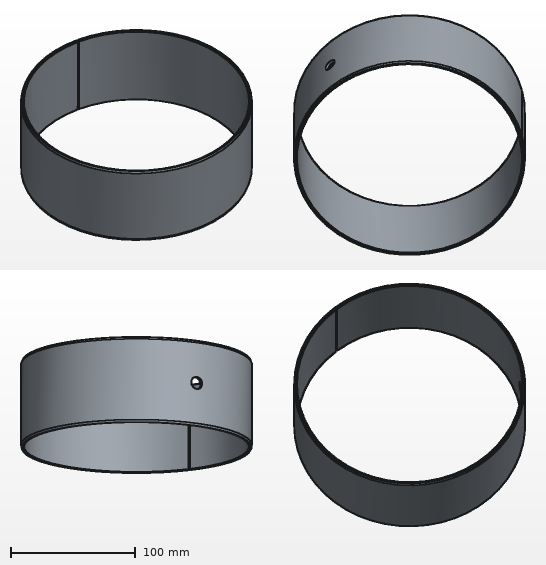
import cadquery as cq

outer_diameter = 185.0
height = 70.0
wall = 2.5
outer_chamfer_height = 1.8
outer_chamfer_depth = 0.7
inner_chamfer = 0.7
split_angle = 1.0
hole_diameter = 10.0
hole_angle = 59.0

outer_radius = outer_diameter / 2
inner_radius = outer_radius - wall
half_height = height / 2
outer_shoulder = half_height - outer_chamfer_height
inner_shoulder = half_height - inner_chamfer


def split_band():
    """Thin band with chamfered rims, left open just short of the -X axis."""
    profile = [
        (inner_radius, -inner_shoulder),
        (inner_radius + inner_chamfer, -half_height),
        (outer_radius - outer_chamfer_depth, -half_height),
        (outer_radius, -outer_shoulder),
        (outer_radius, outer_shoulder),
        (outer_radius - outer_chamfer_depth, half_height),
        (inner_radius + inner_chamfer, half_height),
        (inner_radius, inner_shoulder),
    ]
    return (
        cq.Workplane("XZ")
        .polyline(profile)
        .close()
        .revolve(360 - split_angle, (0, 0, 0), (0, 1, 0))
        .rotate((0, 0, 0), (0, 0, 1), 180)
    )


def radial_hole():
    """Cutter for one hole through the wall at mid height."""
    return (
        cq.Workplane("YZ")
        .circle(hole_diameter / 2)
        .extrude(outer_diameter)
        .rotate((0, 0, 0), (0, 0, 1), hole_angle)
    )


result = split_band().cut(radial_hole())